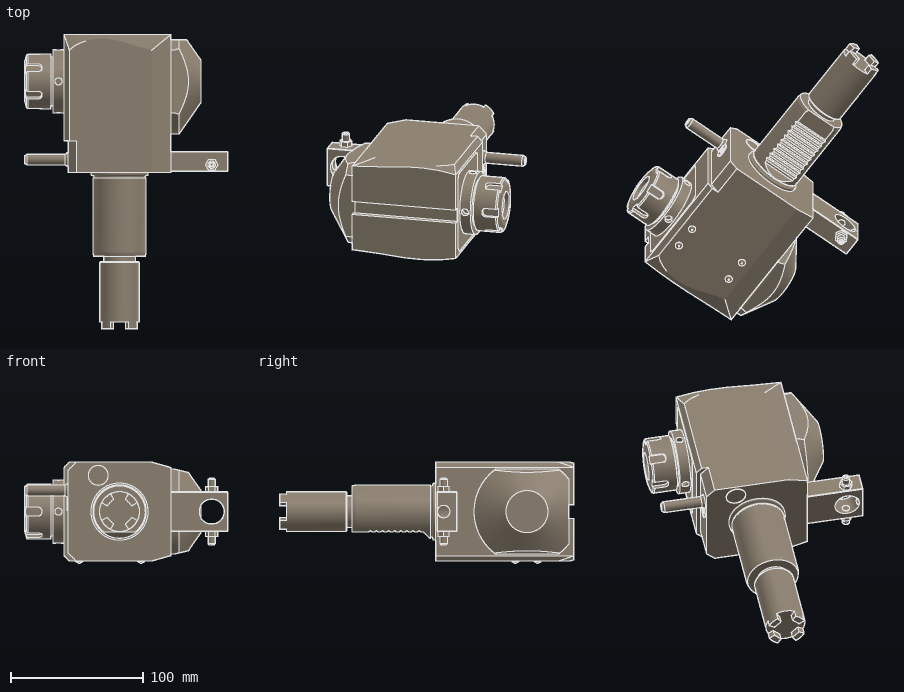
import cadquery as cq


BODY_LEFT = -42.0
BODY_RIGHT = 38.9
BODY_BACK = 104.5
BODY_HALF_HEIGHT = 37.5
EDGE_HALF_HEIGHT = 33.4
LEFT_BEVEL = BODY_HALF_HEIGHT - EDGE_HALF_HEIGHT
TAPER_START_X = 24.2
STEP_LENGTH = 24.1
STEP_LEFT = -38.8
STEP_BEVEL = 6.2
REAR_SLOT_WIDTH = 10.3
REAR_SLOT_DEPTH = 4.2
REAR_BEVEL_START_Y = 92.5
BEVEL_CREST_POINTS = [(-33.5, 96.1), (-27.5, 98.9), (-15.7, 101.1), (0.5, 99.4), (12.0, 95.8)]
BACK_EDGE_POINTS = [(-28.0, 35.8), (-8.0, 36.6), (18.6, 34.6)]

SPINDLE_Y = 69.0
COLLAR_RADIUS = 24.0
COLLAR_END_X = -50.3
GROOVE_RADIUS = 18.5
NUT_START_X = -51.9
NUT_RADIUS = 20.9
NUT_BEVEL_X = -69.2
NUT_SHOULDER_RADIUS = 20.2
NUT_SHOULDER_X = -70.3
NUT_TIP_RADIUS = 15.1
NUT_TIP_X = -71.7
NUT_BORE_RADIUS = 10.4
NUT_BORE_DEPTH = 3.8
NUT_SLOT_COUNT = 6
NUT_SLOT_WIDTH = 6.6
NUT_SLOT_END_X = -58.7
NUT_SLOT_FLOOR_RADIUS = 18.0
NUT_SLOT_CORNER = 2.8
SPANNER_HOLE_COUNT = 4
SPANNER_HOLE_DIAMETER = 5.4
SPANNER_HOLE_DEPTH = 5.0

COVER_FRONT_Y = 40.0
COVER_BACK_Y = 97.7
COVER_HALF_HEIGHT = 31.3
COVER_CORNER = 4.0
COVER_HEIGHT = 0.1

CAP_RADIUS = 40.0
CAP_RIM_X = 45.0
CAP_TIP_X = 61.7
CAP_TIP_RADIUS = 15.9
CAP_BACK_Y = 100.6
CAP_HALF_HEIGHT = 32.2
CAP_SLOPE_START_X = 41.5
CAP_SLOPE = 0.24

FLANGE_RADIUS = 21.6
FLANGE_LENGTH = 1.4
RELIEF_START = 3.1
RELIEF_RADIUS = 19.4
RELIEF_END = 4.0
SHANK_RADIUS = 20.2
SHANK_BEVEL_START = 60.5
SHANK_END_RADIUS = 19.5
SHANK_END = 63.3
NECK_RADIUS = 12.1
NECK_END = 67.2
SHAFT_RADIUS = 15.1
SHAFT_EDGE = 0.7
SHAFT_END = 112.9
TANG_LENGTH = 5.15
TANG_COUNT = 4
TANG_INNER_RADIUS = 9.8
TANG_OUTER_WIDTH = 9.6
TANG_INNER_WIDTH = 7.2

RACK_Z = -15.6
RACK_RAMP_START = 4.5
TOOTH_COUNT = 9
TOOTH_PITCH = 4.6
TOOTH_DEPTH = 1.1
TOOTH_HALF_WIDTH = 1.5
FIRST_TOOTH = 12.6

ARM_END_X = 81.9
ARM_FRONT_Y = 0.8
ARM_BACK_Y = 16.0
ARM_HALF_HEIGHT = 15.0
ARM_EDGE = 0.4
ARM_HOLE_X = 69.7
ARM_HOLE_DIAMETER = 18.8
END_HOLE_DIAMETER = 9.5
STUD_Y = 6.0
STUD_DIAMETER = 5.6
STUD_TOP = 25.3
STUD_EDGE = 1.0
STUD_SOCKET_DIAMETER = 2.6
STUD_SOCKET_DEPTH = 3.0
STUD_SEAT = 9.0
STUD_NUT_DIAMETER = 9.5
STUD_NUT_TOP = 18.9

PIN_Y = 9.9
PIN_Z = 16.0
PIN_RADIUS = 4.2
PIN_END_X = -69.8
PIN_TIP_RADIUS = 2.9
PIN_TIP_X = NUT_TIP_X
PIN_COLLAR_RADIUS = 5.4
PIN_COLLAR_X = -41.2
PIN_SOCKET_DIAMETER = 2.8
PIN_SOCKET_DEPTH = 1.0
PLUG_Z = 5.9
PLUG_RADIUS = 5.2
PLUG_HEIGHT = 0.9
PLUG_SOCKET_DIAMETER = 4.6
FRONT_PLUG_X = -16.1
FRONT_PLUG_Z = 27.4
FRONT_PLUG_DIAMETER = 15.0
FRONT_PLUG_RECESS = 0.4
RIVET_X = (-30.4, 16.3)
RIVET_Y = (60.2, 77.0)
RIVET_RADIUS = 2.7
RIVET_RIM_HEIGHT = 0.3
RIVET_TIP_RADIUS = 0.5
RIVET_HEIGHT = 1.6

JOIN = 1.0
CLEAR = 5.0


def revolve_about_x(profile, y, z):
    """Solid of revolution about an X-parallel axis; the profile is a list of (x, radius)."""
    outline = [(profile[0][0], 0)] + profile + [(profile[-1][0], 0)]
    solid = cq.Workplane("XY").polyline(outline).close().revolve(360, (0, 0, 0), (1, 0, 0))
    return solid.translate((0, y, z))


def box_between(x0, x1, y0, y1, z0, z1):
    """Axis-aligned box between two opposite corners."""
    return cq.Workplane("XY").box(x1 - x0, y1 - y0, z1 - z0, centered=False).translate((x0, y0, z0))


def housing_prism(left, bevel, y0, y1):
    """Length of the housing with a bevelled left side and a tapered right side."""
    upper = [
        (left, BODY_HALF_HEIGHT - bevel),
        (left + bevel, BODY_HALF_HEIGHT),
        (TAPER_START_X, BODY_HALF_HEIGHT),
        (BODY_RIGHT, EDGE_HALF_HEIGHT),
    ]
    lower = [(x, -z) for x, z in reversed(upper)]
    prism = cq.Workplane("XZ").polyline(upper + lower).close().extrude(-(y1 - y0))
    return prism.translate((0, y0, 0))


def rear_bevel_cutter():
    """Wedge above the curved bevel that joins the top face to the back face."""
    top = BODY_HALF_HEIGHT
    left_x = BODY_LEFT + LEFT_BEVEL
    crest_left = cq.Vector(left_x, REAR_BEVEL_START_Y, top)
    crest_right = cq.Vector(TAPER_START_X, REAR_BEVEL_START_Y, top)
    edge_left = cq.Vector(BODY_LEFT, BODY_BACK, EDGE_HALF_HEIGHT)
    edge_right = cq.Vector(BODY_RIGHT, BODY_BACK, EDGE_HALF_HEIGHT)
    corner_left = cq.Vector(left_x, BODY_BACK, top)
    corner_right = cq.Vector(TAPER_START_X, BODY_BACK, top)

    crest_middle = [cq.Vector(x, y, top) for x, y in BEVEL_CREST_POINTS]
    edge_middle = [cq.Vector(x, BODY_BACK, z) for x, z in BACK_EDGE_POINTS]
    crest = cq.Edge.makeSpline([crest_left] + crest_middle + [crest_right])
    back_edge = cq.Edge.makeSpline([edge_left] + edge_middle + [edge_right])

    def planar(edges):
        return cq.Face.makeFromWires(cq.Wire.assembleEdges(edges))

    line = cq.Edge.makeLine

    def triangle(a, b, c):
        return planar([line(a, b), line(b, c), line(c, a)])

    rim = line(corner_left, corner_right)
    faces = [
        cq.Face.makeRuledSurface(crest, back_edge),
        planar([crest, line(crest_right, corner_right), rim, line(corner_left, crest_left)]),
        planar([back_edge, line(edge_right, corner_right), rim, line(corner_left, edge_left)]),
        triangle(crest_left, edge_left, corner_left),
        triangle(crest_right, edge_right, corner_right),
    ]
    wedge = cq.Solid.makeSolid(cq.Shell.makeShell(faces)).fix()
    return cq.Workplane(obj=wedge)


def make_housing():
    body = housing_prism(BODY_LEFT, LEFT_BEVEL, STEP_LENGTH, BODY_BACK)
    cutter = rear_bevel_cutter()
    body = body.cut(cutter).cut(cutter.mirror("XY"))
    body = body.union(housing_prism(STEP_LEFT, STEP_BEVEL, 0, STEP_LENGTH))
    half_slot = REAR_SLOT_WIDTH / 2
    slot = box_between(
        BODY_LEFT - CLEAR, BODY_RIGHT + CLEAR,
        BODY_BACK - REAR_SLOT_DEPTH, BODY_BACK + CLEAR,
        -half_slot, half_slot,
    )
    recess = (
        cq.Workplane("XZ")
        .center(FRONT_PLUG_X, FRONT_PLUG_Z)
        .circle(FRONT_PLUG_DIAMETER / 2)
        .extrude(-FRONT_PLUG_RECESS)
    )
    return body.cut(slot).cut(recess)


def make_cover():
    """Thin plate on the left face: rounded upper corners, bevelled lower corners."""
    plate = box_between(
        BODY_LEFT - COVER_HEIGHT, BODY_LEFT + JOIN,
        COVER_FRONT_Y, COVER_BACK_Y,
        -COVER_HALF_HEIGHT, COVER_HALF_HEIGHT,
    )
    plate = plate.edges("|X and >Z").fillet(COVER_CORNER)
    return plate.edges("|X and <Z").chamfer(COVER_CORNER)


def make_spindle():
    profile = [
        (BODY_LEFT + JOIN, COLLAR_RADIUS),
        (COLLAR_END_X, COLLAR_RADIUS),
        (COLLAR_END_X, GROOVE_RADIUS),
        (NUT_START_X, GROOVE_RADIUS),
        (NUT_START_X, NUT_RADIUS),
        (NUT_BEVEL_X, NUT_RADIUS),
        (NUT_SHOULDER_X, NUT_SHOULDER_RADIUS),
        (NUT_TIP_X, NUT_TIP_RADIUS),
        (NUT_TIP_X, NUT_BORE_RADIUS),
        (NUT_TIP_X + NUT_BORE_DEPTH, NUT_BORE_RADIUS),
    ]
    spindle = revolve_about_x(profile, 0, 0)
    slot = box_between(
        NUT_TIP_X - CLEAR, NUT_SLOT_END_X,
        -NUT_SLOT_WIDTH / 2, NUT_SLOT_WIDTH / 2,
        NUT_SLOT_FLOOR_RADIUS, NUT_RADIUS + CLEAR,
    ).edges("|Z and >X").fillet(NUT_SLOT_CORNER)
    for i in range(NUT_SLOT_COUNT):
        angle = (i + 0.5) * 360 / NUT_SLOT_COUNT
        spindle = spindle.cut(slot.rotate((0, 0, 0), (1, 0, 0), angle))
    hole = (
        cq.Workplane("XY", origin=((BODY_LEFT + COLLAR_END_X) / 2, 0, COLLAR_RADIUS - SPANNER_HOLE_DEPTH))
        .circle(SPANNER_HOLE_DIAMETER / 2)
        .extrude(SPANNER_HOLE_DEPTH + CLEAR)
    )
    for i in range(SPANNER_HOLE_COUNT):
        spindle = spindle.cut(hole.rotate((0, 0, 0), (1, 0, 0), i * 360 / SPANNER_HOLE_COUNT))
    return spindle.translate((0, SPINDLE_Y, 0))


def make_cap():
    """Cone trimmed flat at the back and by sloping planes above and below."""
    base_x = BODY_RIGHT - JOIN
    profile = [(base_x, CAP_RADIUS), (CAP_RIM_X, CAP_RADIUS), (CAP_TIP_X, CAP_TIP_RADIUS)]
    cone = revolve_about_x(profile, SPINDLE_Y, 0)
    tip_half_height = CAP_HALF_HEIGHT - CAP_SLOPE * (CAP_TIP_X - CAP_SLOPE_START_X)
    upper = [
        (base_x, CAP_HALF_HEIGHT),
        (CAP_SLOPE_START_X, CAP_HALF_HEIGHT),
        (CAP_TIP_X, tip_half_height),
    ]
    lower = [(x, -z) for x, z in reversed(upper)]
    envelope = cq.Workplane("XZ", origin=(0, CAP_BACK_Y, 0)).polyline(upper + lower).close()
    return cone.intersect(envelope.extrude(CAP_BACK_Y))


def make_shank():
    blend_direction = (0, -1)
    outline = (
        cq.Workplane("XY")
        .moveTo(0, JOIN)
        .lineTo(FLANGE_RADIUS, JOIN)
        .lineTo(FLANGE_RADIUS, -FLANGE_LENGTH)
        .spline(
            [(RELIEF_RADIUS, -RELIEF_START)],
            tangents=[blend_direction, blend_direction],
            includeCurrent=True,
        )
        .lineTo(RELIEF_RADIUS, -RELIEF_END)
        .lineTo(SHANK_RADIUS, -RELIEF_END)
        .lineTo(SHANK_RADIUS, -SHANK_BEVEL_START)
        .lineTo(SHANK_END_RADIUS, -SHANK_END)
        .lineTo(0, -SHANK_END)
        .close()
    )
    shank = outline.revolve(360, (0, 0, 0), (0, 1, 0))
    return shank.cut(rack_cutter())


def rack_cutter():
    """Volume below the rack: a 45 degree ramp, then a flat with V grooves."""
    bottom = -SHANK_RADIUS - CLEAR
    ramp_end = RACK_RAMP_START + SHANK_RADIUS + RACK_Z
    ramp_foot = RACK_RAMP_START - CLEAR
    outline = [(-ramp_foot, bottom), (-ramp_end, RACK_Z)]
    for i in range(TOOTH_COUNT):
        groove = FIRST_TOOTH + i * TOOTH_PITCH
        outline.append((-(groove - TOOTH_HALF_WIDTH), RACK_Z))
        outline.append((-groove, RACK_Z + TOOTH_DEPTH))
        outline.append((-(groove + TOOTH_HALF_WIDTH), RACK_Z))
    outline.append((-SHANK_END - CLEAR, RACK_Z))
    outline.append((-SHANK_END - CLEAR, bottom))
    cutter = cq.Workplane("YZ").polyline(outline).close().extrude(SHANK_RADIUS + CLEAR, both=True)
    flange_zone = box_between(
        -FLANGE_RADIUS - CLEAR, FLANGE_RADIUS + CLEAR, -RELIEF_START, CLEAR, bottom - CLEAR, 0
    )
    return cutter.cut(flange_zone)


def make_drive_shaft():
    tip = SHAFT_END + TANG_LENGTH
    outline = [
        (0, -SHANK_END + JOIN),
        (NECK_RADIUS, -SHANK_END + JOIN),
        (NECK_RADIUS, -NECK_END),
        (SHAFT_RADIUS - SHAFT_EDGE, -NECK_END),
        (SHAFT_RADIUS, -NECK_END - SHAFT_EDGE),
        (SHAFT_RADIUS, -tip),
        (0, -tip),
    ]
    shaft = cq.Workplane("XY").polyline(outline).close().revolve(360, (0, 0, 0), (0, 1, 0))
    outer_end = SHAFT_RADIUS + JOIN
    side_slope = (TANG_OUTER_WIDTH - TANG_INNER_WIDTH) / (SHAFT_RADIUS - TANG_INNER_RADIUS)
    outer_half_width = (TANG_OUTER_WIDTH + side_slope * JOIN) / 2
    tang_outline = [
        (TANG_INNER_RADIUS, -TANG_INNER_WIDTH / 2),
        (outer_end, -outer_half_width),
        (outer_end, outer_half_width),
        (TANG_INNER_RADIUS, TANG_INNER_WIDTH / 2),
    ]
    workplane = cq.Workplane("XZ", origin=(0, -SHAFT_END, 0))
    clearing = workplane.circle(SHAFT_RADIUS + CLEAR).extrude(TANG_LENGTH + CLEAR)
    tang = workplane.polyline(tang_outline).close().extrude(TANG_LENGTH + CLEAR)
    for i in range(TANG_COUNT):
        angle = (i + 0.5) * 360 / TANG_COUNT
        clearing = clearing.cut(tang.rotate((0, 0, 0), (0, 1, 0), angle))
    return shaft.cut(clearing)


def make_arm():
    arm = box_between(
        BODY_RIGHT - JOIN, ARM_END_X, ARM_FRONT_Y, ARM_BACK_Y, -ARM_HALF_HEIGHT, ARM_HALF_HEIGHT
    )
    arm = arm.edges("|X or >X").chamfer(ARM_EDGE)
    hole = (
        cq.Workplane("XZ", origin=(ARM_HOLE_X, 0, 0))
        .circle(ARM_HOLE_DIAMETER / 2)
        .extrude(-(ARM_BACK_Y + CLEAR))
    )
    end_hole = (
        cq.Workplane("YZ", origin=(ARM_HOLE_X, STUD_Y, 0))
        .circle(END_HOLE_DIAMETER / 2)
        .extrude(ARM_END_X - ARM_HOLE_X + CLEAR)
    )
    arm = arm.cut(hole).cut(end_hole)
    stud = (
        cq.Workplane("XY", origin=(ARM_HOLE_X, STUD_Y, STUD_SEAT))
        .circle(STUD_DIAMETER / 2)
        .extrude(STUD_TOP - STUD_SEAT)
        .faces(">Z")
        .chamfer(STUD_EDGE)
    )
    nut = (
        cq.Workplane("XY", origin=(ARM_HOLE_X, STUD_Y, ARM_HALF_HEIGHT - JOIN))
        .polygon(6, STUD_NUT_DIAMETER)
        .extrude(STUD_NUT_TOP - ARM_HALF_HEIGHT + JOIN)
    )
    socket = (
        cq.Workplane("XY", origin=(ARM_HOLE_X, STUD_Y, STUD_TOP - STUD_SOCKET_DEPTH))
        .polygon(6, STUD_SOCKET_DIAMETER)
        .extrude(STUD_SOCKET_DEPTH)
    )
    fastener = stud.union(nut).cut(socket)
    return arm.union(fastener).union(fastener.mirror("XY"))


def make_pin():
    profile = [
        (STEP_LEFT + JOIN, PIN_COLLAR_RADIUS),
        (STEP_LEFT, PIN_COLLAR_RADIUS),
        (PIN_COLLAR_X, PIN_RADIUS),
        (PIN_END_X, PIN_RADIUS),
        (PIN_TIP_X, PIN_TIP_RADIUS),
    ]
    pin = revolve_about_x(profile, PIN_Y, PIN_Z)
    socket = (
        cq.Workplane("YZ", origin=(PIN_TIP_X, PIN_Y, PIN_Z))
        .circle(PIN_SOCKET_DIAMETER / 2)
        .extrude(PIN_SOCKET_DEPTH)
    )
    return pin.cut(socket)


def make_side_plug():
    profile = [
        (STEP_LEFT + JOIN, PLUG_RADIUS),
        (STEP_LEFT - PLUG_HEIGHT, PLUG_RADIUS),
    ]
    plug = revolve_about_x(profile, PIN_Y, PLUG_Z)
    socket = (
        cq.Workplane("YZ", origin=(STEP_LEFT - PLUG_HEIGHT, PIN_Y, PLUG_Z))
        .polygon(6, PLUG_SOCKET_DIAMETER)
        .extrude(PLUG_HEIGHT)
    )
    return plug.cut(socket)


def make_rivets():
    """Pointed rivet heads under the housing."""
    outline = [
        (0, JOIN),
        (RIVET_RADIUS, JOIN),
        (RIVET_RADIUS, -RIVET_RIM_HEIGHT),
        (RIVET_TIP_RADIUS, -RIVET_HEIGHT),
        (0, -RIVET_HEIGHT),
    ]
    rivet = cq.Workplane("XZ").polyline(outline).close().revolve(360, (0, 0, 0), (0, 1, 0))
    rivets = cq.Workplane("XY")
    for x in RIVET_X:
        for y in RIVET_Y:
            rivets = rivets.add(rivet.translate((x, y, -BODY_HALF_HEIGHT)))
    return rivets


result = make_housing()
for piece in (
    make_cover(),
    make_spindle(),
    make_cap(),
    make_shank(),
    make_drive_shaft(),
    make_arm(),
    make_pin(),
    make_side_plug(),
):
    result = result.union(piece)
for head in make_rivets().vals():
    result = result.union(cq.Workplane(obj=head))